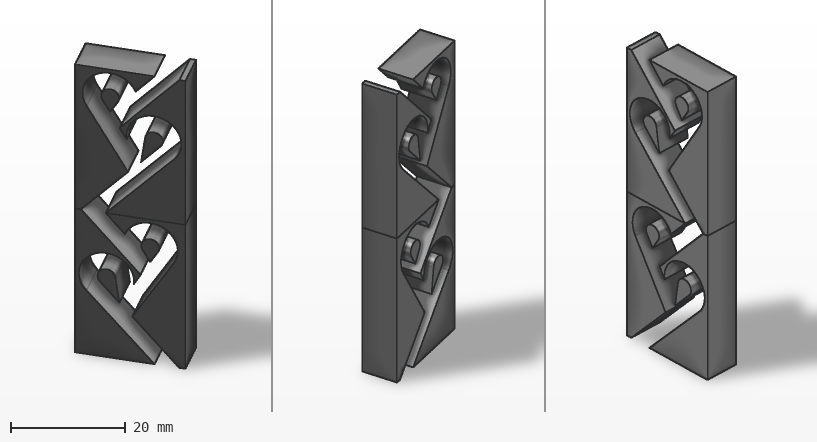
import cadquery as cq
import math

TOTAL_HEIGHT = 60.0
STAGE_COUNT = 2
STAGE_HEIGHT = TOTAL_HEIGHT / STAGE_COUNT
WIDTH = 20.0
DEPTH = 7.0

MOUTH_NEAR = 1.1
MOUTH_FAR = 5.6
BOTTOM_LEFT_EDGE = (MOUTH_NEAR, 0)
BOTTOM_RIGHT_EDGE = (MOUTH_FAR, 0)
TOP_LEFT_EDGE = (WIDTH - MOUTH_FAR, STAGE_HEIGHT)
TOP_RIGHT_EDGE = (WIDTH - MOUTH_NEAR, STAGE_HEIGHT)

BEND_RADIUS = 5.0
ISLAND_RADIUS = 1.6
UPPER_LOOP = (6.35, 24.3)
LOWER_LOOP = (14.3, 16.7)
UPPER_BEND_END = 22.5
LOWER_BEND_END = 187.5

LEFT_WALL_CORNER = (9.6, 9.25)
RIGHT_WALL_CORNER = (8.1, 18.2)
UPPER_ISLAND_TIP = (6.35, 21.2)
LOWER_ISLAND_TIP = (11.95, 11.7)

LEFT = 1
RIGHT = -1


def point_on_circle(center, radius, angle):
    """Point on a circle, with the angle in radians from +X."""
    return (center[0] + radius * math.cos(angle), center[1] + radius * math.sin(angle))


def tangent_angle(point, center, radius, side):
    """Angle at which a line from point touches the circle, on the given side of its heading."""
    dx = point[0] - center[0]
    dz = point[1] - center[1]
    spread = math.acos(radius / math.hypot(dx, dz))
    return math.atan2(dz, dx) - side * spread


def add_arc(outline, center, radius, start, end):
    """Draw a line to the start of an arc, then the arc itself."""
    outline = outline.lineTo(*point_on_circle(center, radius, start))
    middle = point_on_circle(center, radius, (start + end) / 2)
    return outline.threePointArc(middle, point_on_circle(center, radius, end))


def extrude_stage(outline):
    """Close an outline and extrude it through the full depth, from Y = 0 to +Y."""
    return outline.close().extrude(-DEPTH)


def left_wall():
    start = tangent_angle(LEFT_WALL_CORNER, UPPER_LOOP, BEND_RADIUS, LEFT) % math.tau
    end = math.radians(UPPER_BEND_END)
    outline = cq.Workplane("XZ").lineTo(*BOTTOM_LEFT_EDGE).lineTo(*LEFT_WALL_CORNER)
    outline = add_arc(outline, UPPER_LOOP, BEND_RADIUS, start, end)
    return extrude_stage(outline.lineTo(*TOP_LEFT_EDGE).lineTo(0, STAGE_HEIGHT))


def right_wall():
    start = tangent_angle(BOTTOM_RIGHT_EDGE, LOWER_LOOP, BEND_RADIUS, RIGHT)
    start = math.remainder(start, math.tau)
    end = math.radians(LOWER_BEND_END)
    outline = cq.Workplane("XZ").moveTo(*BOTTOM_RIGHT_EDGE)
    outline = add_arc(outline, LOWER_LOOP, BEND_RADIUS, start, end)
    outline = outline.lineTo(*RIGHT_WALL_CORNER).lineTo(*TOP_RIGHT_EDGE)
    return extrude_stage(outline.lineTo(WIDTH, STAGE_HEIGHT).lineTo(WIDTH, 0))


def island(center, tip):
    """Teardrop: a round end with two tangent sides meeting at the tip."""
    start = tangent_angle(tip, center, ISLAND_RADIUS, RIGHT)
    end = tangent_angle(tip, center, ISLAND_RADIUS, LEFT) + math.tau
    outline = cq.Workplane("XZ").moveTo(*tip)
    return extrude_stage(add_arc(outline, center, ISLAND_RADIUS, start, end))


upper_stage = [
    left_wall(),
    right_wall(),
    island(UPPER_LOOP, UPPER_ISLAND_TIP),
    island(LOWER_LOOP, LOWER_ISLAND_TIP),
]

bodies = []
for body in upper_stage:
    lower_body = body.mirror("YZ", (WIDTH / 2, 0, 0))
    bodies.append(body.translate((0, 0, STAGE_HEIGHT)).val())
    bodies.append(lower_body.val())

result = cq.Compound.makeCompound(bodies)